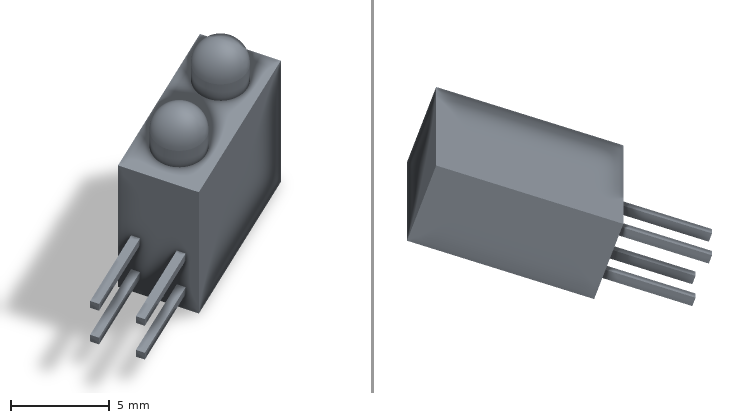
import cadquery as cq

total_length = 15.06
total_height = 11.7

body_width = 4.5
body_length = 10.05
body_height = 8.99

lamp_diameter = 3.0
lamp_radius = lamp_diameter / 2
lamp_pitch = 5.08
front_lamp_y = 2.53
lamp_barrel_height = total_height - body_height - lamp_radius

lead_side = 0.5
lead_length = total_length - body_length
lead_pitch_x = 2.55
lead_pitch_z = 2.5
lower_lead_z = 1.39


def make_housing():
    return cq.Workplane("XY").box(body_width, body_length, body_height, centered=(True, False, False))


def make_lamp(center_y):
    """Cylinder with a hemispherical top, standing on the housing."""
    barrel = cq.Workplane("XY").circle(lamp_radius).extrude(lamp_barrel_height)
    dome = (
        cq.Workplane("XZ")
        .lineTo(lamp_radius, 0)
        .radiusArc((0, lamp_radius), -lamp_radius)
        .close()
        .revolve(360, (0, 0), (0, 1))
        .translate((0, 0, lamp_barrel_height))
    )
    return barrel.union(dome).translate((0, center_y, body_height))


def make_leads():
    center_z = lower_lead_z + lead_pitch_z / 2
    return (
        cq.Workplane("XZ", origin=(0, 0, center_z))
        .rarray(lead_pitch_x, lead_pitch_z, 2, 2)
        .rect(lead_side, lead_side)
        .extrude(lead_length)
    )


result = make_housing().union(make_leads())
for lamp_y in (front_lamp_y, front_lamp_y + lamp_pitch):
    result = result.union(make_lamp(lamp_y))